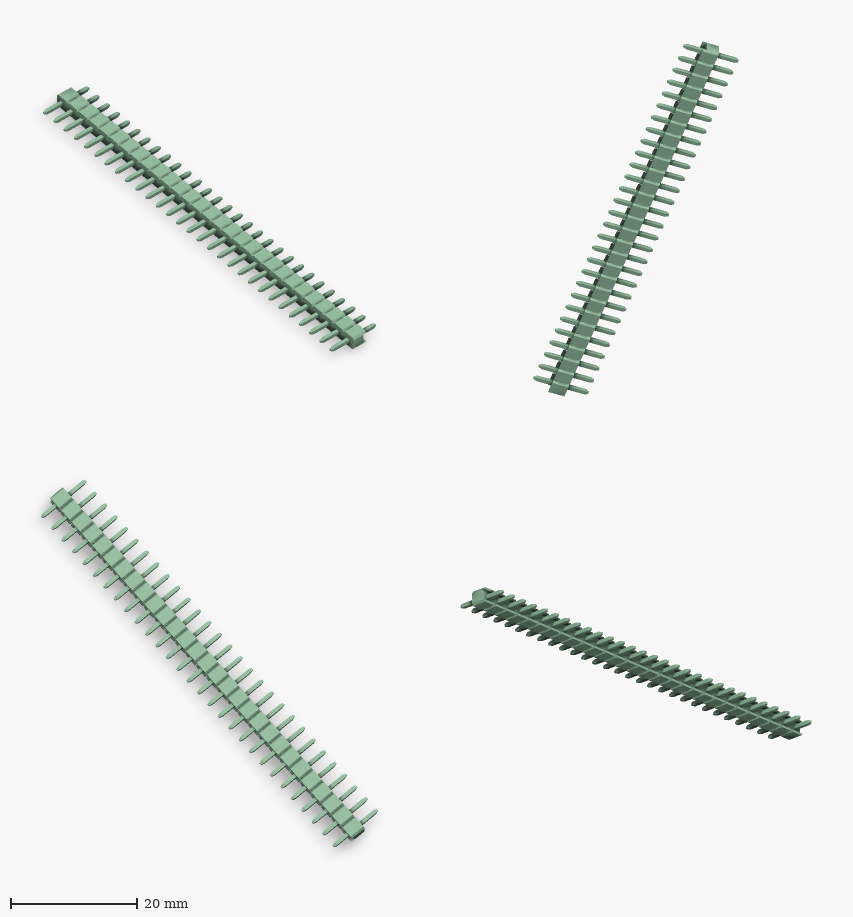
import cadquery as cq

PIN_COUNT = 29
PITCH = 2.54
BODY_HEIGHT = 2.5
BODY_DEPTH = 2.66
BEVEL_WIDTH = 0.3
BEVEL_HEIGHT = 0.4
CHANNEL_DEPTH = 0.62
LIP_THICKNESS = 0.35
PIN_WIDTH = 0.64
PIN_LENGTH = 9.2
PIN_BACK_LENGTH = 2.88
PIN_OFFSET = -0.1
TIP_LENGTH = 0.54
TIP_WIDTH = 0.34

ROW_LENGTH = PIN_COUNT * PITCH
PIN_END = PIN_LENGTH / 2
BODY_BACK = PIN_END - PIN_BACK_LENGTH
BODY_FRONT = BODY_BACK - BODY_DEPTH
CHANNEL_HEIGHT = BODY_HEIGHT - 2 * LIP_THICKNESS
CELL_CENTRES = [(i - (PIN_COUNT - 1) / 2) * PITCH for i in range(PIN_COUNT)]


def plane_facing_back(y):
    """XZ plane at the given Y with its normal along +Y."""
    return cq.Workplane(cq.Plane(origin=(0, y, 0), xDir=(1, 0, 0), normal=(0, 1, 0)))


def make_cell():
    """One housing cell, an eight-sided block centred on X = 0."""
    side = PITCH / 2
    top = BODY_HEIGHT / 2
    flat_x = side - BEVEL_WIDTH
    flat_z = top - BEVEL_HEIGHT
    outline = [
        (-side, -flat_z),
        (-flat_x, -top),
        (flat_x, -top),
        (side, -flat_z),
        (side, flat_z),
        (flat_x, top),
        (-flat_x, top),
        (-side, flat_z),
    ]
    return plane_facing_back(BODY_FRONT).polyline(outline).close().extrude(BODY_DEPTH)


def make_channel():
    """Cutter for the channel along the whole +Y face, leaving a lip above and below."""
    cutter = cq.Workplane("XY").box(ROW_LENGTH, CHANNEL_DEPTH, CHANNEL_HEIGHT)
    return cutter.translate((0, BODY_BACK - CHANNEL_DEPTH / 2, 0))


def make_pin():
    """Square pin along Y with a tapered tip at each end."""
    shank_end = PIN_END - TIP_LENGTH
    shank = cq.Workplane("XY").box(PIN_WIDTH, 2 * shank_end, PIN_WIDTH)
    back_tip = (
        plane_facing_back(shank_end)
        .rect(PIN_WIDTH, PIN_WIDTH)
        .workplane(offset=TIP_LENGTH)
        .rect(TIP_WIDTH, TIP_WIDTH)
        .loft()
    )
    front_tip = back_tip.mirror("XZ")
    return shank.union(back_tip).union(front_tip).translate((PIN_OFFSET, 0, 0))


def repeat_along_row(shape):
    """Copies of a shape, one for every cell, joined together."""
    copies = [shape.translate((x, 0, 0)).val() for x in CELL_CENTRES]
    return cq.Workplane(copies[0].fuse(*copies[1:]))


body = repeat_along_row(make_cell()).cut(make_channel())
pins = repeat_along_row(make_pin())
result = body.union(pins)